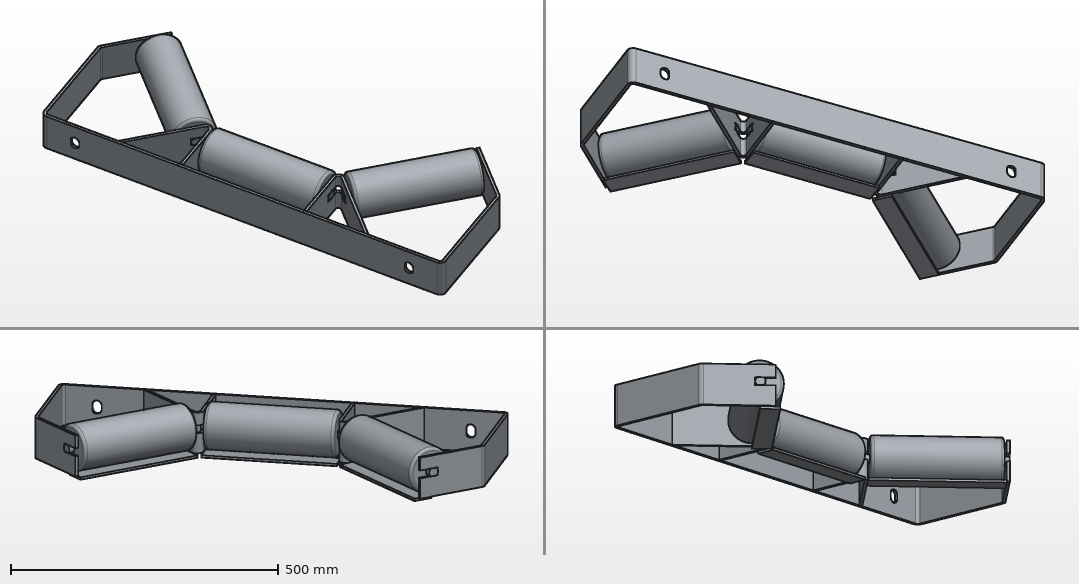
import cadquery as cq
import math

STRIP_THICKNESS = 6.0
STRIP_HEIGHT = 80.0
BEND_INNER_RADIUS = 6.0
BEND_OUTER_RADIUS = BEND_INNER_RADIUS + STRIP_THICKNESS

FRAME_LENGTH = 860.0
HALF_FRAME = FRAME_LENGTH / 2
ARM_TIP_Y = 320.0
MOUNT_SLOT_SPACING = 715.5
MOUNT_SLOT_WIDTH = 18.0
MOUNT_SLOT_HEIGHT = 26.0

TILT = 45.0
ROLLER_DIAMETER = 90.0
ROLLER_LENGTH = 251.0
ROLLER_EDGE_RADIUS = 6.0
AXLE_DIAMETER = 20.0
AXLE_FLAT_HEIGHT = 15.5
AXLE_OVERHANG = 1.0
AXLE_Z = 47.0

SUPPORT_GAP = 260.0
HALF_GAP = SUPPORT_GAP / 2
AXLE_LENGTH = SUPPORT_GAP + 2 * (STRIP_THICKNESS + AXLE_OVERHANG)

APEX_X = HALF_GAP
APEX_Y = 144.5
AXLE_DROP = 46.5

SLOT_CUTTER_DEPTH = 4 * STRIP_THICKNESS
SLOT_CUTTER_LENGTH = 2 * AXLE_DROP

PLATE_WIDTH = 38.0
PLATE_THICKNESS = 5.0

TILT_COS = math.cos(math.radians(TILT))
TILT_SIN = math.sin(math.radians(TILT))

MIDDLE_AXLE_Y = APEX_Y - AXLE_DROP
SIDE_CENTER_X = APEX_X + AXLE_DROP * TILT_SIN + HALF_GAP * TILT_COS
SIDE_CENTER_Y = APEX_Y - AXLE_DROP * TILT_COS + HALF_GAP * TILT_SIN

STATIONS = [
    (-SIDE_CENTER_X, SIDE_CENTER_Y, -TILT),
    (0.0, MIDDLE_AXLE_Y, 0.0),
    (SIDE_CENTER_X, SIDE_CENTER_Y, TILT),
]


def at_station(shape, station):
    """Move a shape built along X about the origin to a roller station."""
    x, y, tilt = station
    return shape.rotate((0, 0, 0), (0, 0, 1), tilt).translate((x, y, AXLE_Z))


def round_bends(strip, corners, radius):
    """Round the upright edges of a strip that stand at the given corners."""
    for x, y in corners:
        nearest = cq.selectors.NearestToPointSelector((x, y, STRIP_HEIGHT / 2))
        strip = strip.edges("|Z").edges(nearest).fillet(radius)
    return strip


def mirrored(points):
    """Mirror points across the YZ plane, in reverse order."""
    return [(-x, y) for x, y in reversed(points)]


def make_roller():
    """Roller shell with its axle; the axle has flats above and below."""
    shell = (
        cq.Workplane("YZ", origin=(-ROLLER_LENGTH / 2, 0, 0))
        .circle(ROLLER_DIAMETER / 2)
        .extrude(ROLLER_LENGTH)
        .faces("<X or >X")
        .edges()
        .fillet(ROLLER_EDGE_RADIUS)
    )
    flats = cq.Workplane("XY").box(AXLE_LENGTH, AXLE_DIAMETER, AXLE_FLAT_HEIGHT)
    axle = (
        cq.Workplane("YZ", origin=(-AXLE_LENGTH / 2, 0, 0))
        .circle(AXLE_DIAMETER / 2)
        .extrude(AXLE_LENGTH)
        .intersect(flats)
    )
    return shell.union(axle)


def make_plate():
    """Flat plate level with the underside of the strips."""
    return (
        cq.Workplane("XY")
        .box(SUPPORT_GAP, PLATE_WIDTH, PLATE_THICKNESS, centered=(True, False, False))
        .translate((0, 0, -AXLE_Z - PLATE_THICKNESS))
    )


def strip_slot(station, end):
    """Cutter for the slot that runs from one axle end (-1 or +1) to past the end of its strip or leg."""
    cutter = (
        cq.Workplane("XY")
        .box(SLOT_CUTTER_DEPTH, SLOT_CUTTER_LENGTH, AXLE_FLAT_HEIGHT, centered=(True, False, True))
        .translate((end * (HALF_GAP + STRIP_THICKNESS / 2), -AXLE_DIAMETER / 2, 0))
    )
    return at_station(cutter, station)


def make_frame():
    """Base, side walls and leaning arms bent from one strip."""
    t = STRIP_THICKNESS
    arm_bend_y = (APEX_X + APEX_Y) + (SUPPORT_GAP + t) / TILT_COS - HALF_FRAME
    arm_rise = ARM_TIP_Y - arm_bend_y
    outer_bend = (HALF_FRAME, arm_bend_y)
    outer_tip = (HALF_FRAME - arm_rise, ARM_TIP_Y)
    inner_tip = (outer_tip[0] - t * TILT_COS, outer_tip[1] - t * TILT_SIN)
    inner_bend = (HALF_FRAME - t, arm_bend_y - t * math.tan(math.radians(TILT / 2)))
    outer_corner = (HALF_FRAME, 0.0)
    inner_corner = (HALF_FRAME - t, t)

    outer_side = [outer_corner, outer_bend, outer_tip]
    inner_side = [inner_tip, inner_bend, inner_corner]
    right_half = outer_side + inner_side
    frame = (
        cq.Workplane("XY")
        .polyline(right_half + mirrored(right_half))
        .close()
        .extrude(STRIP_HEIGHT)
    )
    outer_bends = [outer_corner, outer_bend]
    inner_bends = [inner_corner, inner_bend]
    frame = round_bends(frame, outer_bends + mirrored(outer_bends), BEND_OUTER_RADIUS)
    frame = round_bends(frame, inner_bends + mirrored(inner_bends), BEND_INNER_RADIUS)

    mount_slots = (
        cq.Workplane("XZ", origin=(0, 0, STRIP_HEIGHT / 2))
        .pushPoints([(-MOUNT_SLOT_SPACING / 2, 0), (MOUNT_SLOT_SPACING / 2, 0)])
        .slot2D(MOUNT_SLOT_HEIGHT, MOUNT_SLOT_WIDTH, 90)
        .extrude(-t)
    )
    left_station, _, right_station = STATIONS
    return frame.cut(mount_slots).cut(strip_slot(left_station, -1)).cut(strip_slot(right_station, 1))


def make_right_bracket():
    """Upright leg and tilted leg joined by a tight bend, standing on the base."""
    t = STRIP_THICKNESS
    base_y = STRIP_THICKNESS
    outer_apex = (APEX_X, APEX_Y)
    inner_apex = (APEX_X + t, APEX_Y - t * math.tan(math.radians(90 - TILT / 2)))
    tilted_outer_foot = (APEX_X + (APEX_Y - base_y) * TILT_SIN / TILT_COS, base_y)
    tilted_inner_foot = (tilted_outer_foot[0] - t / TILT_COS, base_y)
    bracket = (
        cq.Workplane("XY")
        .polyline([
            (APEX_X, base_y),
            outer_apex,
            tilted_outer_foot,
            tilted_inner_foot,
            inner_apex,
            (APEX_X + t, base_y),
        ])
        .close()
        .extrude(STRIP_HEIGHT)
    )
    bracket = round_bends(bracket, [outer_apex], BEND_OUTER_RADIUS)
    bracket = round_bends(bracket, [inner_apex], BEND_INNER_RADIUS)
    _, middle_station, right_station = STATIONS
    return bracket.cut(strip_slot(middle_station, 1)).cut(strip_slot(right_station, -1))


frame = make_frame()
right_bracket = make_right_bracket()
brackets = [right_bracket, right_bracket.mirror("YZ")]
rollers = [at_station(make_roller(), station) for station in STATIONS]
plates = [at_station(make_plate(), station) for station in STATIONS]

bodies = [frame] + brackets + rollers + plates
result = cq.Compound.makeCompound([body.solids().val() for body in bodies])